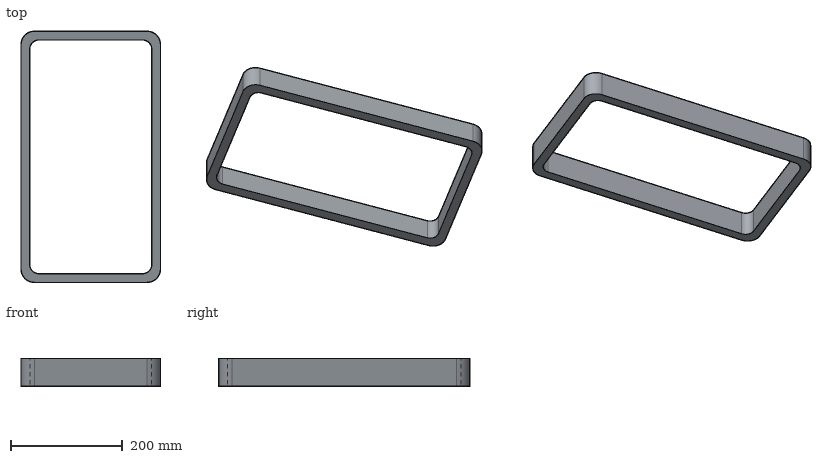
import cadquery as cq

length_x = 250.0
length_y = 450.0
height = 50.0
wall = 16.0
outer_radius = 24.0
inner_radius = 16.0


def rounded_block(size_x, size_y, corner_radius):
    """Block of the frame's height with rounded vertical corners."""
    block = cq.Workplane("XY").box(size_x, size_y, height)
    return block.edges("|Z").fillet(corner_radius)


outer_block = rounded_block(length_x, length_y, outer_radius)
opening = rounded_block(length_x - 2 * wall, length_y - 2 * wall, inner_radius)

result = outer_block.cut(opening)